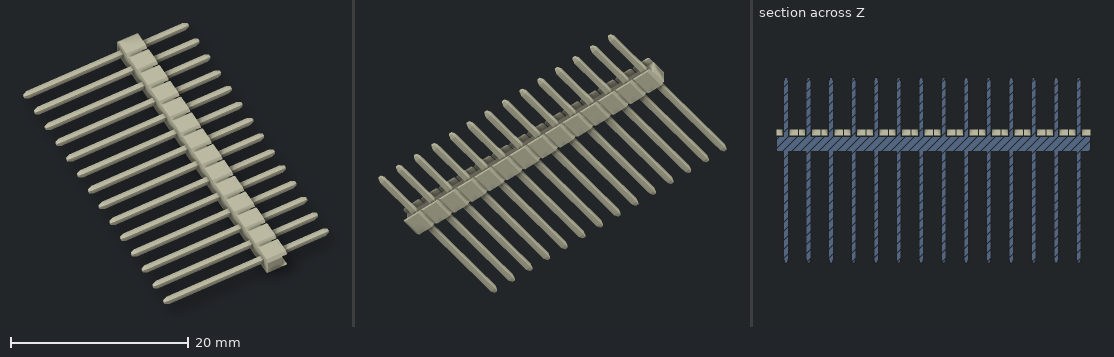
import cadquery as cq


pin_count = 14
row_length = 35.55
pitch = row_length / pin_count
housing_height = 2.5
housing_depth = 2.52
corner_chamfer = 0.35

recess_depth = 0.7
recess_height = 1.9

pin_width = 0.65
pin_length = 21.1
pin_front_reach = 12.6
pin_offset = -0.125
tip_length = 0.5
tip_width = 0.35


def cell_center(index):
    """X position of the middle of one housing cell."""
    return (index - (pin_count - 1) / 2) * pitch


def make_cell(x):
    """One octagonal housing cell; the chamfers of neighbours form the V notches."""
    return (
        cq.Workplane("XY")
        .box(pitch, housing_depth, housing_height)
        .edges("|Y")
        .chamfer(corner_chamfer)
        .translate((x, housing_depth / 2, 0))
    )


def make_recess():
    """Full-length channel open towards the back of the housing."""
    return cq.Workplane("XY").box(row_length, recess_depth, recess_height).translate(
        (0, housing_depth - recess_depth / 2, 0)
    )


def make_tip(y, direction):
    """Tapered pin end that starts at y and narrows along Y in the given direction."""
    return (
        cq.Workplane("XZ", origin=(0, y, 0))
        .rect(pin_width, pin_width)
        .workplane(offset=-direction * tip_length)
        .rect(tip_width, tip_width)
        .loft()
    )


def make_pin():
    """Square pin with a tapered tip at each end, centred on X = 0."""
    shank_length = pin_length - 2 * tip_length
    shank_front = tip_length - pin_front_reach
    shank_back = shank_front + shank_length
    shank = cq.Workplane("XY").box(pin_width, shank_length, pin_width).translate(
        (0, (shank_front + shank_back) / 2, 0)
    )
    return shank.union(make_tip(shank_front, -1)).union(make_tip(shank_back, 1))


housing = make_cell(cell_center(0))
for index in range(1, pin_count):
    housing = housing.union(make_cell(cell_center(index)))
housing = housing.cut(make_recess())

pin = make_pin()
result = housing
for index in range(pin_count):
    result = result.union(pin.translate((cell_center(index) + pin_offset, 0, 0)))